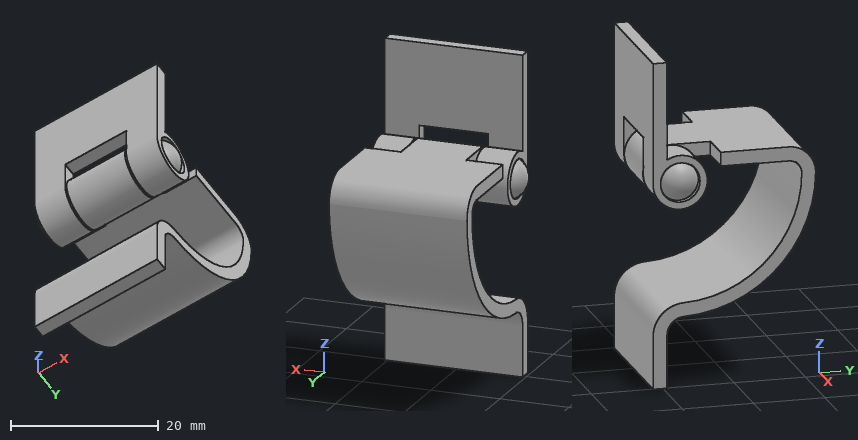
import cadquery as cq
import math

strip_width = 20.0
strip_thickness = 2.0
barrel_radius = 3.8
pin_radius = 2.75
front_y = -barrel_radius

leaf_top_z = 17.05
leaf_gap_width = 10.0
leaf_gap_top_z = 5.2

clip_bottom_z = leaf_top_z - 46
tongue_width = 9.48
tongue_root_y = 5.65
top_bend_y = 15.2
foot_bend_radius = 4.45
bow_outer_radius = top_bend_y + barrel_radius
bow_inner_radius = bow_outer_radius - strip_thickness

pin_length = 22.2
pin_left_overhang = 1.43
dome_height = 1.65


def extrude_across(outline, width):
    """Extrude a YZ outline symmetrically about X = 0."""
    return outline.extrude(width / 2, both=True)


def cylinder_across(radius, width):
    return extrude_across(cq.Workplane("YZ").circle(radius), width)


def block(width, y_start, y_end, z_start, z_end):
    """Box centred on X = 0 between the given Y and Z limits."""
    return cq.Workplane("XY").box(width, y_end - y_start, z_end - z_start).translate(
        (0, (y_start + y_end) / 2, (z_start + z_end) / 2)
    )


def polar(center, radius, angle):
    return (center[0] + radius * math.cos(angle), center[1] + radius * math.sin(angle))


def make_leaf():
    plate = block(strip_width, front_y, front_y + strip_thickness, 0, leaf_top_z)
    barrel = cylinder_across(barrel_radius, strip_width)
    gap = block(leaf_gap_width, -barrel_radius, barrel_radius, -barrel_radius, leaf_gap_top_z)
    bore = cylinder_across(pin_radius, strip_width)
    return plate.union(barrel).cut(gap).cut(bore)


def make_clip_strip():
    """Bent strip: flat top, tight bend, large bow, reverse bend and straight foot."""
    top_center = (top_bend_y, 0)
    top_inner_radius = barrel_radius - strip_thickness
    foot_inner_radius = foot_bend_radius - strip_thickness

    foot_y = front_y + foot_bend_radius
    foot_z = -math.sqrt((bow_inner_radius + foot_bend_radius) ** 2 - foot_y**2)
    foot_center = (foot_y, foot_z)
    bow_end = math.atan2(foot_z, foot_y)
    bow_middle = bow_end / 2
    foot_start = bow_end + math.pi
    foot_middle = (foot_start + math.pi) / 2
    corner_middle = math.pi / 4
    bow_center = (0, 0)

    outline = (
        cq.Workplane("YZ")
        .moveTo(0, barrel_radius)
        .lineTo(top_bend_y, barrel_radius)
        .threePointArc(
            polar(top_center, barrel_radius, corner_middle),
            polar(top_center, barrel_radius, 0),
        )
        .threePointArc(
            polar(bow_center, bow_outer_radius, bow_middle),
            polar(bow_center, bow_outer_radius, bow_end),
        )
        .threePointArc(
            polar(foot_center, foot_inner_radius, foot_middle),
            polar(foot_center, foot_inner_radius, math.pi),
        )
        .lineTo(front_y + strip_thickness, clip_bottom_z)
        .lineTo(front_y, clip_bottom_z)
        .lineTo(front_y, foot_z)
        .threePointArc(
            polar(foot_center, foot_bend_radius, foot_middle),
            polar(foot_center, foot_bend_radius, foot_start),
        )
        .threePointArc(
            polar(bow_center, bow_inner_radius, bow_middle),
            polar(bow_center, bow_inner_radius, 0),
        )
        .threePointArc(
            polar(top_center, top_inner_radius, corner_middle),
            polar(top_center, top_inner_radius, math.pi / 2),
        )
        .lineTo(0, top_inner_radius)
        .close()
    )
    return extrude_across(outline, strip_width)


def make_clip():
    hinge_end = block(strip_width, -barrel_radius, tongue_root_y, -barrel_radius, barrel_radius)
    tongue = block(tongue_width, -barrel_radius, tongue_root_y, -barrel_radius, barrel_radius)
    side_notches = hinge_end.cut(tongue)
    barrel = cylinder_across(barrel_radius, tongue_width)
    bore = cylinder_across(pin_radius, tongue_width)
    return make_clip_strip().cut(side_notches).union(barrel).cut(bore)


def make_pin():
    """Revolve a half profile with a spherical dome at each end."""
    left_x = -strip_width / 2 - pin_left_overhang
    right_x = left_x + pin_length
    dome_radius = (pin_radius**2 + dome_height**2) / (2 * dome_height)
    half_angle = math.asin(pin_radius / dome_radius) / 2
    middle_inset = dome_radius * (1 - math.cos(half_angle))
    middle_radius = dome_radius * math.sin(half_angle)
    return (
        cq.Workplane("XY")
        .moveTo(left_x, 0)
        .threePointArc((left_x + middle_inset, middle_radius), (left_x + dome_height, pin_radius))
        .lineTo(right_x - dome_height, pin_radius)
        .threePointArc((right_x - middle_inset, middle_radius), (right_x, 0))
        .close()
        .revolve(360, (0, 0, 0), (1, 0, 0))
    )


leaf = make_leaf()
clip = make_clip()
pin = make_pin()

result = cq.Compound.makeCompound([leaf.val(), clip.val(), pin.val()])